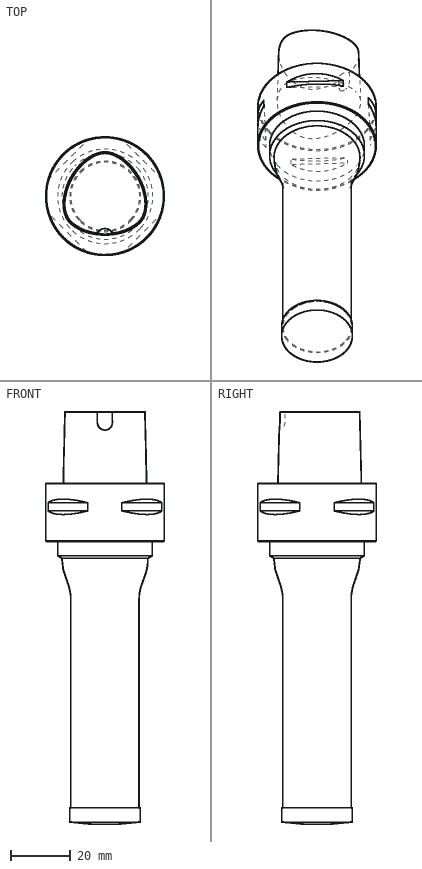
import cadquery as cq
import math


shank_height = 24.0
root_band_height = 2.5
shank_root_diameter = 28.1
shank_taper = 1 / 20
lobe_eccentricity = 0.9
lobe_count = 3
outline_points = 60

keyway_radius = 2.8
keyway_axis_y = -13.7
keyway_straight_depth = 3.5

flange_radius = 40.0 / 2
flange_height = 19.7
flange_chamfer = 0.3
neck_radius = 32.0 / 2
neck_straight_end_z = -24.4
bevel_end_z = -25.4

taper_top_radius = 29.0 / 2
taper_top_z = -26.0
bar_radius = 23.1 / 2
bar_start_z = -39.0
bar_end_z = -109.4

groove_floor_radius = 17.6
groove_floor_height = 2.7
groove_mouth_height = 5.2
groove_center_z = -8.0
groove_count = 4
groove_start_angle = 45.0

cap_radius = 23.9 / 2
cap_rim_z = -114.2
cap_bottom_z = -115.0
cap_flat_radius = 4.0


def polygon_wire(diameter, z):
    """Closed constant-width lobed outline, with one lobe pointing to +Y."""
    points = []
    for index in range(outline_points):
        angle = 2 * math.pi * index / outline_points
        reach = diameter / 2 + lobe_eccentricity * math.cos(lobe_count * angle)
        reach_slope = -lobe_count * lobe_eccentricity * math.sin(lobe_count * angle)
        along_lobe = reach * math.cos(angle) - reach_slope * math.sin(angle)
        across_lobe = reach * math.sin(angle) + reach_slope * math.cos(angle)
        points.append(cq.Vector(-across_lobe, along_lobe, z))
    return cq.Wire.assembleEdges([cq.Edge.makeSpline(points, periodic=True)])


def make_polygon_shank():
    tip_diameter = shank_root_diameter - shank_taper * (shank_height - root_band_height)
    root_wire = polygon_wire(shank_root_diameter, 0)
    band = cq.Solid.extrudeLinear(root_wire, [], cq.Vector(0, 0, root_band_height))
    band_wire = polygon_wire(shank_root_diameter, root_band_height)
    tip_wire = polygon_wire(tip_diameter, shank_height)
    taper = cq.Solid.makeLoft([band_wire, tip_wire], True)
    return cq.Workplane(band).union(cq.Workplane(taper))


def make_keyway_cutter():
    straight_end_z = shank_height - keyway_straight_depth
    ball_offset = keyway_radius * math.cos(math.pi / 4)
    return (
        cq.Workplane("XZ")
        .moveTo(0, shank_height)
        .lineTo(keyway_radius, shank_height)
        .lineTo(keyway_radius, straight_end_z)
        .threePointArc((ball_offset, straight_end_z - ball_offset), (0, straight_end_z - keyway_radius))
        .close()
        .revolve(360, (0, 0), (0, 1))
        .translate((0, keyway_axis_y, 0))
    )


def make_turned_body():
    """Flange, neck, taper and bar as one revolved profile."""
    return (
        cq.Workplane("XZ")
        .moveTo(0, 0)
        .lineTo(flange_radius - flange_chamfer, 0)
        .lineTo(flange_radius, -flange_chamfer)
        .lineTo(flange_radius, flange_chamfer - flange_height)
        .lineTo(flange_radius - flange_chamfer, -flange_height)
        .lineTo(neck_radius, -flange_height)
        .lineTo(neck_radius, neck_straight_end_z)
        .lineTo(taper_top_radius, bevel_end_z)
        .lineTo(taper_top_radius, taper_top_z)
        .spline([(bar_radius, bar_start_z)], tangents=[(0, -1), (0, -1)], includeCurrent=True)
        .lineTo(bar_radius, bar_end_z)
        .lineTo(0, bar_end_z)
        .close()
        .revolve(360, (0, 0), (0, 1))
    )


def make_groove_cutter(angle):
    wall_slope = (groove_mouth_height - groove_floor_height) / (2 * (flange_radius - groove_floor_radius))
    outer_reach = flange_radius + 1.0
    floor_half = groove_floor_height / 2
    outer_half = floor_half + wall_slope * (outer_reach - groove_floor_radius)
    return (
        cq.Workplane("XZ")
        .polyline([
            (groove_floor_radius, groove_center_z - floor_half),
            (outer_reach, groove_center_z - outer_half),
            (outer_reach, groove_center_z + outer_half),
            (groove_floor_radius, groove_center_z + floor_half),
        ])
        .close()
        .extrude(flange_radius, both=True)
        .rotate((0, 0, 0), (0, 0, 1), angle)
    )


def make_holder():
    body = make_turned_body().union(make_polygon_shank()).cut(make_keyway_cutter())
    for index in range(groove_count):
        body = body.cut(make_groove_cutter(groove_start_angle + index * 360 / groove_count))
    return body


def make_end_cap():
    return (
        cq.Workplane("XZ")
        .moveTo(0, bar_end_z)
        .lineTo(cap_radius, bar_end_z)
        .lineTo(cap_radius, cap_rim_z)
        .lineTo(cap_flat_radius, cap_bottom_z)
        .lineTo(0, cap_bottom_z)
        .close()
        .revolve(360, (0, 0), (0, 1))
    )


holder = make_holder()
end_cap = make_end_cap()

result = cq.Compound.makeCompound([holder.solids().val(), end_cap.solids().val()])